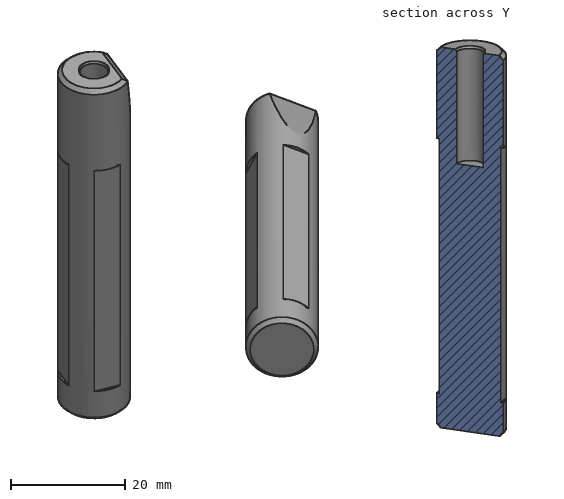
import cadquery as cq

length = 71.1
diameter = 12.7
radius = diameter / 2
chamfer = 0.8

flat_depth = 0.5
flat_bottom = 6.4
flat_top = 53.9

slope_bottom = 58.3
slope_inset = 1.85
ridge_chamfer_width = 1.1

hole_diameter = 5.0
hole_depth = 21.35
mouth_chamfer_width = 0.2
mouth_chamfer_depth = 0.4


def make_body():
    """Round pin with both ends chamfered."""
    return cq.Workplane("XY").circle(radius).extrude(length).faces("<Z or >Z").edges().chamfer(chamfer)


def make_relief():
    """Wedge that leaves the slope and the chamfer where it meets the top face."""
    slope_top_y = radius - slope_inset
    return (
        cq.Workplane("YZ")
        .moveTo(radius, slope_bottom)
        .lineTo(slope_top_y, length - chamfer)
        .lineTo(slope_top_y - ridge_chamfer_width, length)
        .lineTo(radius, length)
        .close()
        .extrude(radius, both=True)
    )


def cut_flats(body):
    """Mill one flat on each of the four sides."""
    flat_length = flat_top - flat_bottom
    cutter = cq.Workplane("XY").box(
        flat_depth, diameter, flat_length, centered=(False, True, False)
    ).translate((radius - flat_depth, 0, flat_bottom))
    for angle in (0, 90, 180, 270):
        body = body.cut(cutter.rotate((0, 0, 0), (0, 0, 1), angle))
    return body


def make_hole():
    """Round hole with a flat bottom and a chamfered mouth."""
    hole_radius = hole_diameter / 2
    mouth_radius = hole_radius + mouth_chamfer_width
    floor = length - hole_depth
    return (
        cq.Workplane("XZ")
        .moveTo(0, length)
        .lineTo(mouth_radius, length)
        .lineTo(hole_radius, length - mouth_chamfer_depth)
        .lineTo(hole_radius, floor)
        .lineTo(0, floor)
        .close()
        .revolve(360, (0, 0), (0, 1))
    )


result = cut_flats(make_body().cut(make_relief())).cut(make_hole())